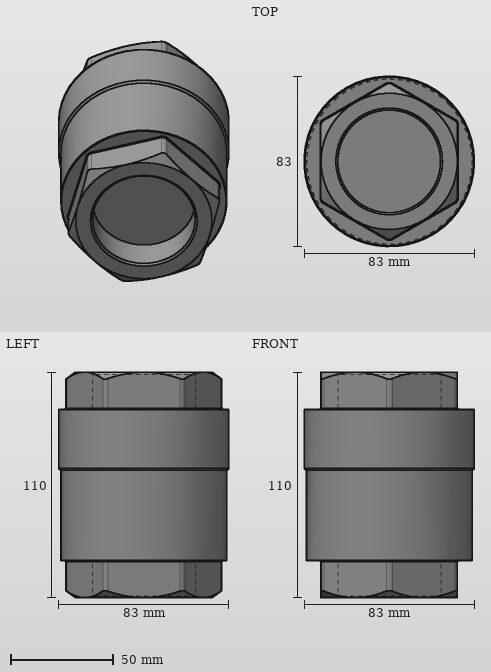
import cadquery as cq
import math

total_height = 110.0

collar_diameter = 83.0
body_diameter = 81.0
collar_bottom = 62.0
collar_chamfer = 0.4
body_chamfer = 0.3

hex_sides = 6
hex_height = 18.0
hex_across_flats = 66.5
hex_corner_radius = 2.8
hex_face_diameter = 66.4
hex_bevel_angle = 36.0
hex_foot_chamfer = 0.4

port_diameter = 50.0
port_mouth_diameter = 52.0
port_depth = hex_height

collar_top = total_height - hex_height
middle_height = total_height / 2
hex_across_corners = hex_across_flats / math.cos(math.pi / hex_sides)


def cylinder(diameter, bottom, top):
    return cq.Workplane("XY").workplane(offset=bottom).circle(diameter / 2).extrude(top - bottom)


def mirrored_to_bottom(shape):
    return shape.mirror("XY", (0, 0, middle_height))


def make_barrel():
    """Round body and collar, with a 45 degree cone leading from one to the other."""
    cone_height = (collar_diameter - body_diameter) / 2
    body = cylinder(body_diameter, hex_height, collar_top).faces("<Z").chamfer(body_chamfer)
    collar = cylinder(collar_diameter, collar_bottom, collar_top)
    collar = collar.faces(">Z").chamfer(collar_chamfer)
    collar = collar.faces("<Z").chamfer(cone_height)
    return body.union(collar)


def make_top_hex():
    """Upper hexagonal end with rounded corners and a conical bevel, reaching into the barrel."""
    hexagon = (
        cq.Workplane("XY")
        .workplane(offset=middle_height)
        .polygon(hex_sides, hex_across_flats, circumscribed=True)
        .extrude(total_height - middle_height)
        .edges("|Z")
        .fillet(hex_corner_radius)
    )
    bevel_width = (hex_across_corners - hex_face_diameter) / 2
    bevel_height = bevel_width * math.tan(math.radians(hex_bevel_angle))
    bevelled_blank = (
        cylinder(hex_across_corners, middle_height, total_height)
        .faces(">Z")
        .chamfer(bevel_height, bevel_width)
    )
    return hexagon.intersect(bevelled_blank)


def add_hex_foot(solid, height):
    """Fill the corner where a hexagonal end meets the barrel with a small chamfer."""
    reach = hex_across_corners / 2
    tolerance = 0.01
    foot_edges = cq.selectors.BoxSelector(
        (-reach, -reach, height - tolerance),
        (reach, reach, height + tolerance),
        boundingbox=True,
    )
    return solid.edges(foot_edges).chamfer(hex_foot_chamfer)


def make_top_port():
    """Upper blind bore with a 45 degree lead-in at its mouth."""
    lead_in = (port_mouth_diameter - port_diameter) / 2
    bore = cylinder(port_diameter, total_height - port_depth, total_height)
    mouth = (
        cq.Workplane("XY")
        .workplane(offset=total_height)
        .circle(port_mouth_diameter / 2)
        .extrude(-lead_in, taper=45)
    )
    return bore.union(mouth)


result = make_barrel()

top_hex = make_top_hex()
result = result.union(top_hex).union(mirrored_to_bottom(top_hex))
for foot_height in (hex_height, collar_top):
    result = add_hex_foot(result, foot_height)

top_port = make_top_port()
result = result.cut(top_port).cut(mirrored_to_bottom(top_port))